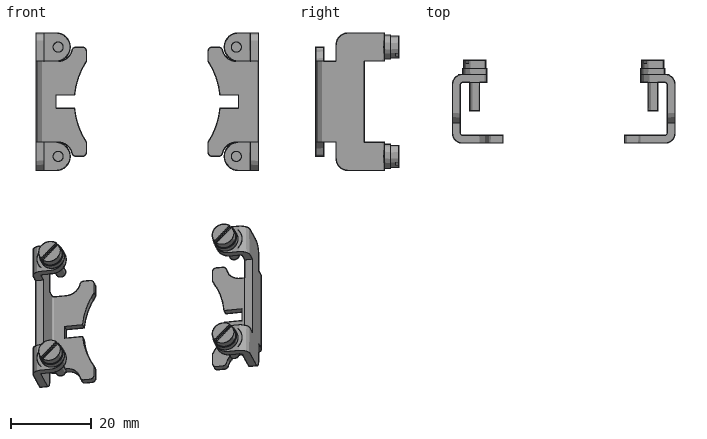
import cadquery as cq
import math

overall_width = 55.0
overall_height = 34.0
half_width = overall_width / 2
half_height = overall_height / 2

sheet = 2.0
bend_inner_radius = 0.5
bend_outer_radius = sheet + bend_inner_radius
bracket_depth = 17.0
flange_reach = 5.0

web_half_height = 10.0
web_middle_depth = 12.0
ear_front = 5.0
web_corner_radius = 3.0

ear_height = half_height - web_half_height
ear_radius = ear_height / 2
ear_z = half_height - ear_radius

jaw_reach = 12.5
jaw_half_height = 13.5
jaw_bore_radius = 18.0
jaw_slot_half_width = 1.6
jaw_tip_radius = 1.0
relief_radius = 3.5
relief_x = 5.5

screw_x = 5.5
screw_z = ear_z
shank_radius = 1.25
shank_length = 7.0
collar_radius = 3.0
collar_height = 1.5
head_radius = 2.75
head_height = 2.0
slot_width = 0.7
slot_depth = 0.75
slot_angle = 45.0


def cylinder_along_y(x, z, radius, y_start, y_end):
    axis = cq.Vector(0, 1, 0)
    start = cq.Vector(x, y_start, z)
    return cq.Workplane(cq.Solid.makeCylinder(radius, y_end - y_start, start, axis))


def block(x_range, y_range, z_range):
    """Axis-aligned box between the given limits."""
    size = [end - start for start, end in (x_range, y_range, z_range)]
    corner = (x_range[0], y_range[0], z_range[0])
    return cq.Workplane().box(*size, centered=False).translate(corner)


def make_channel():
    """U-shaped channel of full height, with its web on X = 0 and both flanges cut at flange_reach."""
    outer = block((0, flange_reach), (0, bracket_depth), (-half_height, half_height))
    outer = outer.edges("|Z and <X").fillet(bend_outer_radius)
    inner = block((sheet, flange_reach), (sheet, bracket_depth - sheet), (-half_height, half_height))
    inner = inner.edges("|Z and <X").fillet(bend_inner_radius)
    return outer.cut(inner)


def make_web_outline():
    """Side outline of the web, as a solid that trims the channel."""
    x_range = (0, flange_reach)
    outline = block(x_range, (ear_front, bracket_depth), (-half_height, half_height))
    outline = outline.edges("|X and <Y").fillet(web_corner_radius)
    gap = block(x_range, (web_middle_depth, bracket_depth), (-web_half_height, web_half_height))
    middle = block(x_range, (0, web_middle_depth), (-web_half_height, web_half_height))
    return outline.cut(gap).union(middle)


def make_upper_jaw():
    """Flat jaw above the slot: concave bore edge, rounded tip and relief around the ear."""
    def bore_point(z):
        return (half_width - math.sqrt(jaw_bore_radius**2 - z**2), z)

    bore_bottom = bore_point(jaw_slot_half_width)
    bore_middle = bore_point((jaw_slot_half_width + web_half_height) / 2)

    relief_z = web_half_height + relief_radius
    round_z = jaw_half_height - jaw_tip_radius
    center_distance = relief_radius + jaw_tip_radius
    round_x = relief_x + math.sqrt(center_distance**2 - (relief_z - round_z)**2)
    tangent_angle = math.atan2(round_z - relief_z, round_x - relief_x)

    def relief_point(angle):
        return (relief_x + relief_radius * math.cos(angle), relief_z + relief_radius * math.sin(angle))

    round_middle_angle = (math.pi / 2 + math.pi + tangent_angle) / 2
    round_middle = (
        round_x + jaw_tip_radius * math.cos(round_middle_angle),
        round_z + jaw_tip_radius * math.sin(round_middle_angle),
    )
    tip_corner = jaw_tip_radius * math.sqrt(0.5)

    outline = (
        cq.Workplane("XZ")
        .moveTo(flange_reach, jaw_slot_half_width)
        .lineTo(*bore_bottom)
        .threePointArc(bore_middle, (jaw_reach, web_half_height))
        .lineTo(jaw_reach, round_z)
        .threePointArc(
            (jaw_reach - jaw_tip_radius + tip_corner, round_z + tip_corner),
            (jaw_reach - jaw_tip_radius, jaw_half_height),
        )
        .lineTo(round_x, jaw_half_height)
        .threePointArc(round_middle, relief_point(tangent_angle))
        .threePointArc(relief_point((tangent_angle - math.pi / 2) / 2), (relief_x, web_half_height))
        .lineTo(flange_reach, web_half_height)
        .close()
    )
    return outline.extrude(-sheet)


def make_left_sheet():
    """Left bent sheet with its outer web face on X = 0."""
    upper_jaw = make_upper_jaw()
    bent_sheet = make_channel().intersect(make_web_outline())
    bent_sheet = bent_sheet.union(upper_jaw).union(upper_jaw.mirror("XY"))
    for z in (-ear_z, ear_z):
        ear_end = cylinder_along_y(flange_reach, z, ear_radius, bracket_depth - sheet, bracket_depth)
        bent_sheet = bent_sheet.union(ear_end)
    return bent_sheet


def make_screw(x, z):
    """Screw with a collar and a head slotted on the diagonal."""
    shank_start = bracket_depth - sheet - shank_length
    collar_end = bracket_depth + collar_height
    head_end = collar_end + head_height
    screw = cylinder_along_y(x, z, shank_radius, shank_start, bracket_depth)
    screw = screw.union(cylinder_along_y(x, z, collar_radius, bracket_depth, collar_end))
    screw = screw.union(cylinder_along_y(x, z, head_radius, collar_end, head_end))
    slot = (
        cq.Workplane()
        .box(2 * head_radius, slot_depth, slot_width)
        .rotate((0, 0, 0), (0, 1, 0), slot_angle)
        .translate((x, head_end - slot_depth / 2, z))
    )
    return screw.cut(slot)


def make_bracket(side):
    """One bracket with its two screws fused in; side is -1 for left and 1 for right."""
    bracket = make_left_sheet().translate((-half_width, 0, 0))
    if side > 0:
        bracket = bracket.mirror("YZ")
    for z in (-screw_z, screw_z):
        bracket = bracket.union(make_screw(side * (half_width - screw_x), z))
    return bracket


brackets = [make_bracket(side).val() for side in (-1, 1)]

result = cq.Compound.makeCompound(brackets)